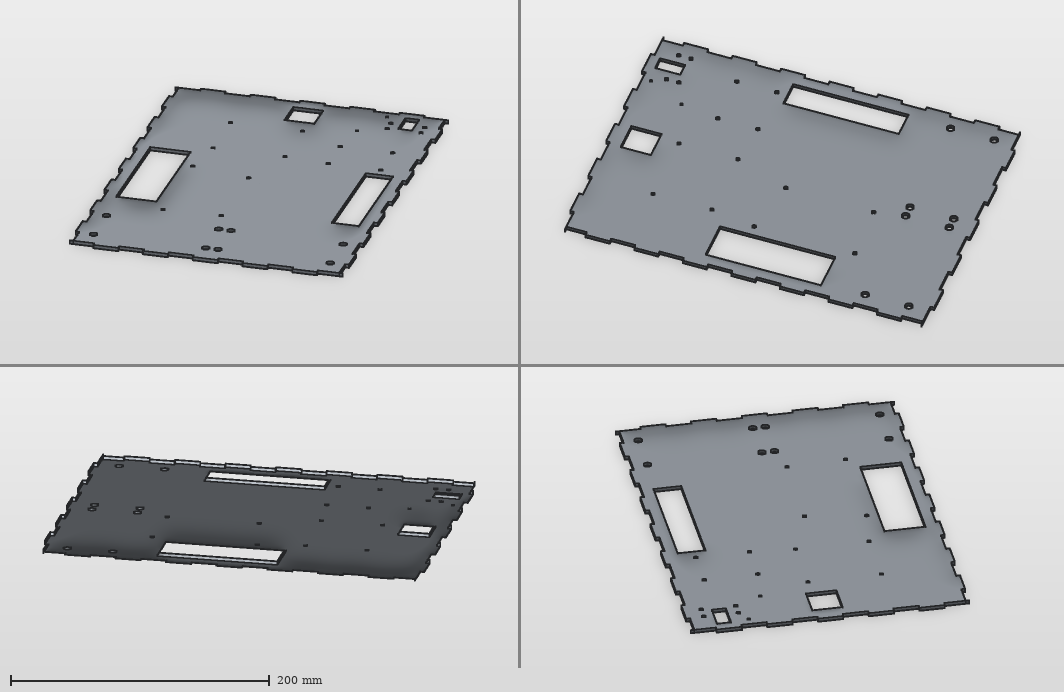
import cadquery as cq

length = 300.0
thickness = 3.0
steps_along_y = 15
steps_along_x = 11
finger = length / steps_along_y
width = steps_along_x * finger
finger_depth = thickness
corner_sliver = 0.1

body_width = width - 2 * finger_depth
body_length = length - 2 * finger_depth

side_opening_y = -12.0
side_opening_length = 95.0
openings = [
    (-81.5, side_opening_y, 32.5, side_opening_length),
    (86.7, side_opening_y, 22.0, side_opening_length),
    (0.0, 124.8, 24.0, 25.0),
    (82.5, 131.5, 11.0, 20.7),
]

mount_diameter = 6.0
mount_pattern_x = 50.0
mount_spacing_x = 90.3
mount_rows_y = (-95.0, -131.0)

switch_diameter = 3.0
switch_columns_x = (68.7, 96.0)
switch_rows_y = (129.3, 119.0)

right_board_diameter = 3.0
right_board_columns_x = (43.0, 85.2)
right_board_rows_y = (77.5, 44.5)

middle_board_diameter = 2.7
middle_board_columns_x = (-50.7, 7.2)
middle_board_rows_y = (96.3, 47.7)

controller_diameter = 3.0
controller_points = [(-56.5, 10.8), (-9.0, 2.0), (-10.0, -70.5), (-56.5, -72.3)]

pilot_diameter = 2.0
pilot_points = [(62.7, 139.8), (47.5, 109.0)]


def grid(columns, rows):
    return [(x, y) for x in columns for y in rows]


def block(size_x, size_y, points):
    """Full-thickness rectangles centred on the given points."""
    return cq.Workplane("XY").pushPoints(points).rect(size_x, size_y).extrude(thickness)


def finger_centres(steps):
    """Centres of the odd-numbered steps, which carry the fingers."""
    return [(i - (steps - 1) / 2) * finger for i in range(1, steps, 2)]


def sheet():
    body = block(body_width, body_length, [(0, 0)])
    side_fingers = block(width, finger, grid([0], finger_centres(steps_along_y)))
    end_fingers = block(finger, length, grid(finger_centres(steps_along_x), [0]))
    sliver_y = (body_length - corner_sliver) / 2
    slivers = block(width, corner_sliver, grid([0], [-sliver_y, sliver_y]))
    return body.union(side_fingers).union(end_fingers).union(slivers)


def drill(plate, diameter, points):
    holes = cq.Workplane("XY").pushPoints(points).circle(diameter / 2).extrude(thickness)
    return plate.cut(holes)


def column_pair(centre):
    """X positions of the two hole columns of one mounting pattern."""
    return [centre - mount_spacing_x / 2, centre + mount_spacing_x / 2]


plate = sheet()

for x, y, size_x, size_y in openings:
    plate = plate.cut(block(size_x, size_y, [(x, y)]))

mount_columns_x = column_pair(-mount_pattern_x) + column_pair(mount_pattern_x)
plate = drill(plate, mount_diameter, grid(mount_columns_x, mount_rows_y))
plate = drill(plate, switch_diameter, grid(switch_columns_x, switch_rows_y))
plate = drill(plate, right_board_diameter, grid(right_board_columns_x, right_board_rows_y))
plate = drill(plate, middle_board_diameter, grid(middle_board_columns_x, middle_board_rows_y))
plate = drill(plate, controller_diameter, controller_points)
plate = drill(plate, pilot_diameter, pilot_points)

result = plate